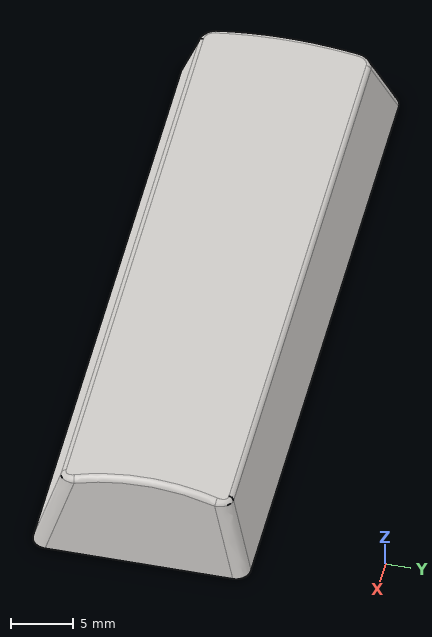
import cadquery as cq
import math

length = 56.1
width = 18.0
height = 7.2

draft_angle = 18.0
crown_radius = 23.0
corner_radius = 1.3
top_edge_radius = 0.6


def tapered_body():
    """Block with walls leaning inward up to the crown height, its wall corners rounded."""
    inset = height * math.tan(math.radians(draft_angle))
    block = (
        cq.Workplane("XY")
        .rect(length, width)
        .workplane(offset=height)
        .rect(length - 2 * inset, width - 2 * inset)
        .loft(ruled=True)
    )
    return block.edges("not #Z").fillet(corner_radius)


def crown_envelope():
    """Prism along X with a flat base and a circular-arc top; its ridge is at full height."""
    half_width = width / 2
    crown_drop = crown_radius - math.sqrt(crown_radius**2 - half_width**2)
    side_height = height - crown_drop
    return (
        cq.Workplane("YZ", origin=(-length / 2, 0, 0))
        .moveTo(-half_width, 0)
        .lineTo(half_width, 0)
        .lineTo(half_width, side_height)
        .threePointArc((0, height), (-half_width, side_height))
        .close()
        .extrude(length)
    )


def round_crown_rim(body):
    """Fillet the whole rim of the domed top, the highest face of the body."""
    return body.faces(">Z").edges().fillet(top_edge_radius)


result = round_crown_rim(tapered_body().intersect(crown_envelope()))